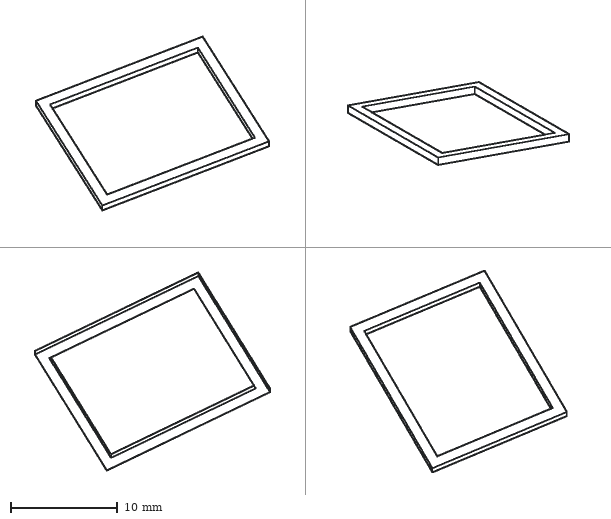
import cadquery as cq

length_x = 14.1
length_y = 17.48
thickness = 0.75

bar_width = 1.0

opening_x = length_x - 2 * bar_width
opening_y = length_y - 2 * bar_width


def make_frame():
    """Rectangular plate with a centred rectangular through-opening."""
    return (
        cq.Workplane("XY")
        .rect(length_x, length_y)
        .rect(opening_x, opening_y)
        .extrude(thickness)
    )


result = make_frame()